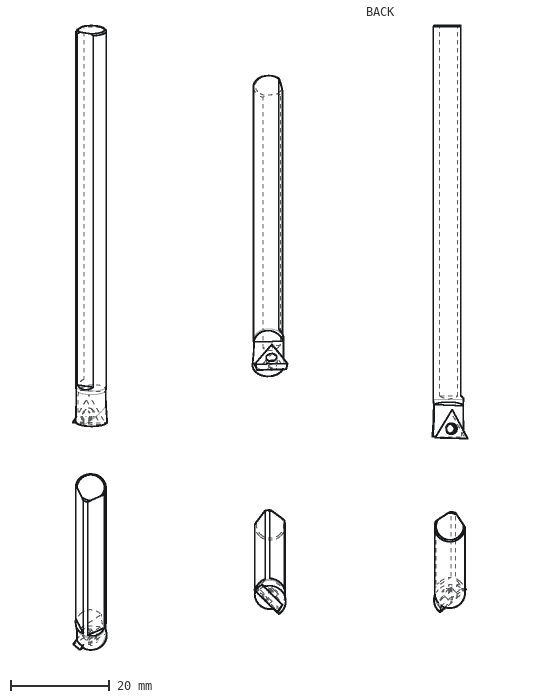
import cadquery as cq
import math

LENGTH = 83.65
SHANK_R = 3.1
FLAT_DISTANCE = 2.5
FLAT_BOTTOM = 8.7
TOP_CHAMFER = 0.3
SHANK_BOTTOM = 7.95
NECK_TOP = 7.2
NECK_R = 3.0
HEAD_R = 3.1
HEAD_BOTTOM = 0.4

RELIEF_HEIGHT = 5.0
RELIEF_TOP_R = 2.85
RELIEF_BOTTOM_R = 3.2
RELIEF_OFFSET = 0.125
RELIEF_ANGLE = 30.0

TIP_X = -3.9
RAKE_ANGLE = 9.0
LEAD_ANGLE = 1.5
FLUTE_RUNOUT_ANGLE = 15.0
FLUTE_RUNOUT_BASE = 6.8

INSERT_SIDE = 6.7
INSERT_THICKNESS = 1.8
CLEARANCE_ANGLE = 7.0
INSERT_HOLE_D = 2.2
SCREW_HOLE_D = 1.8
SCREW_HOLE_DEPTH = 0.8
INSERT_INRADIUS = INSERT_SIDE / (2 * math.sqrt(3))

RAKE = math.radians(RAKE_ANGLE)
LEAD = math.radians(LEAD_ANGLE)
rake_plane = cq.Plane(
    origin=(TIP_X, 0, 0),
    xDir=(math.cos(RAKE) * math.cos(LEAD), math.sin(RAKE) * math.cos(LEAD), math.sin(LEAD)),
    normal=(math.sin(RAKE), -math.cos(RAKE), 0),
)
INSERT_CENTRE = (INSERT_SIDE / 2, INSERT_INRADIUS)


def turned_blank():
    """Shank, tapered collar and flared neck, turned about Z."""
    return (
        cq.Workplane("XZ")
        .moveTo(0, HEAD_BOTTOM)
        .lineTo(HEAD_R, HEAD_BOTTOM)
        .lineTo(NECK_R, NECK_TOP)
        .lineTo(SHANK_R, SHANK_BOTTOM)
        .lineTo(SHANK_R, LENGTH - TOP_CHAMFER)
        .lineTo(SHANK_R - TOP_CHAMFER, LENGTH)
        .lineTo(0, LENGTH)
        .close()
        .revolve(360, (0, 0, 0), (0, 1, 0))
    )


def head_relief():
    """Eccentric cone at the bottom of the head."""
    angle = math.radians(RELIEF_ANGLE)
    centre = cq.Vector(RELIEF_OFFSET * math.cos(angle), RELIEF_OFFSET * math.sin(angle), HEAD_BOTTOM)
    cone = cq.Solid.makeCone(RELIEF_BOTTOM_R, RELIEF_TOP_R, RELIEF_HEIGHT, centre, cq.Vector(0, 0, 1))
    return cq.Workplane(cone)


def flat_cutter():
    """Removes the material outside a flat on the -Y side, with a 45 degree runout."""
    depth = SHANK_R - FLAT_DISTANCE
    return (
        cq.Workplane("YZ")
        .moveTo(-FLAT_DISTANCE, FLAT_BOTTOM)
        .lineTo(-FLAT_DISTANCE, LENGTH)
        .lineTo(-FLAT_DISTANCE - depth, LENGTH)
        .lineTo(-FLAT_DISTANCE - depth, FLAT_BOTTOM - depth)
        .close()
        .extrude(SHANK_R, both=True)
    )


def flute_cutter():
    """Clears everything on the +Y side of the rake plane, up to a sloping runout."""
    reach = 3 * SHANK_R
    floor = -TIP_X * math.tan(RAKE)
    rise = math.tan(math.radians(FLUTE_RUNOUT_ANGLE))
    runout = (
        cq.Workplane("YZ")
        .moveTo(-reach, -0.8)
        .lineTo(reach, -0.8)
        .lineTo(reach, FLUTE_RUNOUT_BASE + (reach - floor) * rise)
        .lineTo(-reach, FLUTE_RUNOUT_BASE - (reach + floor) * rise)
        .close()
        .extrude(reach, both=True)
    )
    above_rake = cq.Workplane(rake_plane).rect(4 * reach, 4 * reach).extrude(-2 * reach)
    return runout.intersect(above_rake)


def insert_blank():
    """Triangle narrowing away from the rake face by the clearance angle."""
    return (
        cq.Workplane(rake_plane)
        .moveTo(0, 0)
        .lineTo(INSERT_SIDE, 0)
        .lineTo(INSERT_SIDE / 2, 3 * INSERT_INRADIUS)
        .close()
        .extrude(INSERT_THICKNESS, taper=CLEARANCE_ANGLE)
    )


def hole_cutter(diameter, depth):
    """Screw hole at the centre of the insert, from the rake plane inwards."""
    return cq.Workplane(rake_plane).center(*INSERT_CENTRE).circle(diameter / 2).extrude(depth)


def make_bar():
    bar = turned_blank().union(head_relief())
    flat = flat_cutter()
    for angle in (0, -90):
        bar = bar.cut(flat.rotate((0, 0, 0), (0, 0, 1), angle))
    bar = bar.cut(flute_cutter())
    bar = bar.cut(insert_blank())
    bar = bar.cut(hole_cutter(SCREW_HOLE_D, INSERT_THICKNESS + SCREW_HOLE_DEPTH))
    return bar.solids()


def make_insert():
    return insert_blank().cut(hole_cutter(INSERT_HOLE_D, INSERT_THICKNESS))


bar = make_bar()
insert = make_insert()
result = cq.Compound.makeCompound([bar.val(), insert.val()])